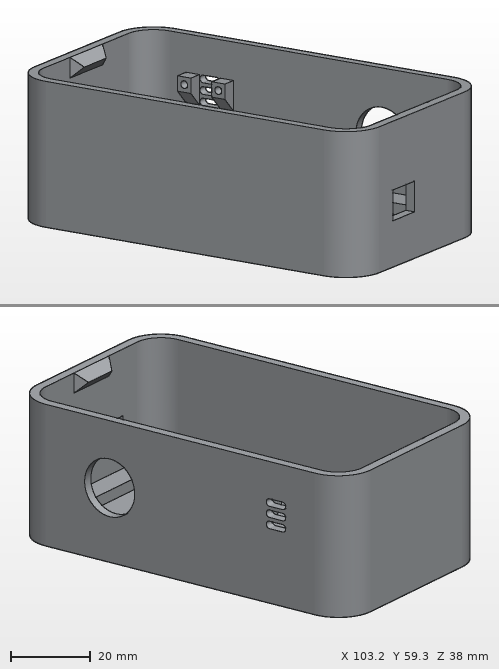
import cadquery as cq

LENGTH = 103.2
WIDTH = 59.3
HEIGHT = 38.0
WALL = 2.65
CORNER_RADIUS = 10.0
FLOOR_THICKNESS = 6.0
INNER_HALF_LENGTH = LENGTH / 2 - WALL
INNER_HALF_WIDTH = WIDTH / 2 - WALL

RECESS_LENGTH = 83.8
RECESS_CENTER_X = 0.6
RECESS_BACK_Y = 19.3
RECESS_DEPTH = 3.0

SNAP_DEPTH = 2.7
SNAP_BASE_LENGTH = 15.0
SNAP_CREST_LENGTH = 10.0

ROUND_OPENING_DIAMETER = 15.5
ROUND_OPENING_X = 21.9
ROUND_OPENING_Z = 20.0

BRACKET_SIZE = 4.0
BRACKET_SPACING = 10.2
BRACKET_PAIR_X = -29.55
BRACKET_TOP_Z = 28.0
PILOT_DIAMETER = 2.0
PILOT_DEPTH = 3.0

SLOT_COUNT = 3
SLOT_LENGTH = 6.0
SLOT_HEIGHT = 2.0
SLOT_PITCH = 3.0

PORT_WIDTH = 10.0
PORT_HEIGHT = 8.0
PORT_BACK_Y = -3.4
PORT_TOP_Z = 20.1


def make_shell():
    """Open-topped box with rounded vertical corners and an even wall."""
    outside = (
        cq.Workplane("XY")
        .rect(LENGTH, WIDTH)
        .extrude(HEIGHT)
        .edges("|Z")
        .fillet(CORNER_RADIUS)
    )
    cavity = (
        cq.Workplane("XY", origin=(0, 0, FLOOR_THICKNESS))
        .rect(2 * INNER_HALF_LENGTH, 2 * INNER_HALF_WIDTH)
        .extrude(HEIGHT - FLOOR_THICKNESS)
        .edges("|Z")
        .fillet(CORNER_RADIUS - WALL)
    )
    return outside.cut(cavity)


def make_floor_recess():
    recess_width = RECESS_BACK_Y + INNER_HALF_WIDTH
    front_middle = (RECESS_CENTER_X, -INNER_HALF_WIDTH, FLOOR_THICKNESS - RECESS_DEPTH)
    return cq.Workplane("XY", origin=front_middle).box(
        RECESS_LENGTH, recess_width, RECESS_DEPTH, centered=(True, False, False)
    )


def make_snap_ridge(side):
    """Triangular ridge with tapered ends; side is +1 for the +X wall, -1 for -X."""
    wall_x = side * INNER_HALF_LENGTH
    ridge = (
        cq.Workplane("XZ", origin=(0, SNAP_BASE_LENGTH / 2, 0))
        .moveTo(wall_x, HEIGHT)
        .lineTo(wall_x - side * SNAP_DEPTH, HEIGHT - SNAP_DEPTH)
        .lineTo(wall_x, HEIGHT - 2 * SNAP_DEPTH)
        .close()
        .extrude(SNAP_BASE_LENGTH)
    )
    plan = (
        cq.Workplane("XY")
        .moveTo(wall_x, -SNAP_BASE_LENGTH / 2)
        .lineTo(wall_x - side * SNAP_DEPTH, -SNAP_CREST_LENGTH / 2)
        .lineTo(wall_x - side * SNAP_DEPTH, SNAP_CREST_LENGTH / 2)
        .lineTo(wall_x, SNAP_BASE_LENGTH / 2)
        .close()
        .extrude(HEIGHT)
    )
    return ridge.intersect(plan)


def make_bracket(center_x):
    """Block on the +Y wall with a 45 degree underside and a pilot hole in its front."""
    front_y = INNER_HALF_WIDTH - BRACKET_SIZE
    block = (
        cq.Workplane("YZ", origin=(center_x - BRACKET_SIZE / 2, 0, 0))
        .moveTo(INNER_HALF_WIDTH, BRACKET_TOP_Z)
        .lineTo(front_y, BRACKET_TOP_Z)
        .lineTo(front_y, BRACKET_TOP_Z - BRACKET_SIZE)
        .lineTo(INNER_HALF_WIDTH, BRACKET_TOP_Z - 2 * BRACKET_SIZE)
        .close()
        .extrude(BRACKET_SIZE)
    )
    pilot = (
        cq.Workplane("XZ", origin=(center_x, front_y, BRACKET_TOP_Z - BRACKET_SIZE / 2))
        .circle(PILOT_DIAMETER / 2)
        .extrude(-PILOT_DEPTH)
    )
    return block.cut(pilot)


def make_slots():
    """Stack of horizontal slots centred on the height of the brackets."""
    middle_z = BRACKET_TOP_Z - BRACKET_SIZE
    return (
        cq.Workplane("XZ", origin=(BRACKET_PAIR_X, INNER_HALF_WIDTH, middle_z))
        .rarray(1, SLOT_PITCH, 1, SLOT_COUNT)
        .slot2D(SLOT_LENGTH, SLOT_HEIGHT)
        .extrude(-WALL)
    )


def make_round_opening():
    return (
        cq.Workplane("XZ", origin=(ROUND_OPENING_X, INNER_HALF_WIDTH, ROUND_OPENING_Z))
        .circle(ROUND_OPENING_DIAMETER / 2)
        .extrude(-WALL)
    )


def make_port():
    corner = (INNER_HALF_LENGTH, PORT_BACK_Y - PORT_WIDTH, PORT_TOP_Z - PORT_HEIGHT)
    return cq.Workplane("XY", origin=corner).box(WALL, PORT_WIDTH, PORT_HEIGHT, centered=False)


result = make_shell().cut(make_floor_recess())
for side in (-1, 1):
    result = result.union(make_snap_ridge(side))
    result = result.union(make_bracket(BRACKET_PAIR_X + side * BRACKET_SPACING / 2))
for opening in (make_slots(), make_round_opening(), make_port()):
    result = result.cut(opening)